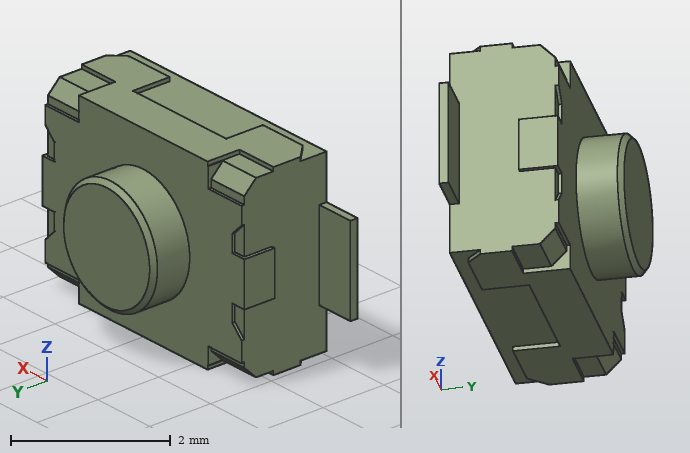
import cadquery as cq

total_length = 5.0
total_depth = 2.0
total_height = 2.9

body_left = -1.9
body_right = 1.89
body_height = 2.78
cover_face = 1.4
cover_thickness = 0.045
body_depth = cover_face - cover_thickness
body_chamfer = 0.195

strip_left = -1.26
strip_right = 1.24
ear_top = 1.075
ear_bottom = -1.12
slot_half_mouth = 0.8
slot_half_floor = 0.62
slot_depth = slot_half_mouth - slot_half_floor

tab_width = 0.7
tab_length = 0.5
tab_tip_left = -1.955
tab_tip_right = 1.945

plate_thickness = (total_height - body_height) / 2
plate_edge = 0.195
plate_chamfer_left = 0.235
plate_chamfer_right = 0.2
plate_left = -1.245
shoulder_left = 0.875
shoulder_right = 0.8
window_left_upper = -0.9
window_left_lower = -0.87
window_right = 0.9
window_top = 0.8

lower_center = -0.015
terminal_width = 1.4
terminal_thickness = 0.12
button_diameter = 1.8
button_chamfer = 0.07


def block(x_min, x_max, y_min, y_max, z_min, z_max):
    size = (x_max - x_min, y_max - y_min, z_max - z_min)
    return cq.Workplane("XY").box(*size, centered=False).translate((x_min, y_min, z_min))


def make_body():
    half = body_height / 2
    body = block(body_left, body_right, 0, body_depth, -half, half)
    return body.faces(">Y").edges("|X").chamfer(body_chamfer)


def make_cover():
    half = body_height / 2
    ears = block(body_left, body_right, body_depth, cover_face, ear_bottom, ear_top)
    strip = block(strip_left, strip_right, body_depth - body_chamfer, cover_face, -half, half)
    cover = ears.union(strip)
    for end, inward in ((body_left, 1), (body_right, -1)):
        floor = end + inward * slot_depth
        slot = (
            cq.Workplane("XZ", origin=(0, body_depth, 0))
            .polyline([
                (end, -slot_half_mouth),
                (floor, -slot_half_floor),
                (floor, slot_half_floor),
                (end, slot_half_mouth),
            ])
            .close()
            .extrude(-cover_thickness)
        )
        cover = cover.cut(slot)
    return cover


def make_tabs():
    half = tab_width / 2
    folded = block(tab_tip_left, tab_tip_right, cover_face - tab_length, cover_face, -half, half)
    inside = block(body_left, body_right, 0, body_depth, -half, half)
    return folded.cut(inside)


def make_side_plate(z_start, window_left):
    outline = [
        (plate_left, cover_face),
        (plate_left, shoulder_left),
        (body_left, shoulder_left),
        (body_left, plate_edge + plate_chamfer_left),
        (body_left + plate_chamfer_left, plate_edge),
        (window_left, plate_edge),
        (window_left, window_top),
        (window_right, window_top),
        (window_right, plate_edge),
        (body_right - plate_chamfer_right, plate_edge),
        (body_right, plate_edge + plate_chamfer_right),
        (body_right, shoulder_right),
        (strip_right, shoulder_right),
        (strip_right, cover_face),
    ]
    plate = cq.Workplane("XY", origin=(0, 0, z_start)).polyline(outline).close()
    return plate.extrude(plate_thickness)


def make_terminals():
    return block(
        -total_length / 2,
        total_length / 2,
        0,
        terminal_thickness,
        lower_center - terminal_width / 2,
        lower_center + terminal_width / 2,
    )


def make_button():
    button = (
        cq.Workplane("XZ", origin=(0, body_depth, lower_center))
        .circle(button_diameter / 2)
        .extrude(body_depth - total_depth)
    )
    return button.faces(">Y").chamfer(button_chamfer)


result = (
    make_body()
    .union(make_cover())
    .union(make_tabs())
    .union(make_side_plate(body_height / 2, window_left_upper))
    .union(make_side_plate(-total_height / 2, window_left_lower))
    .union(make_terminals())
    .union(make_button())
    .clean()
)